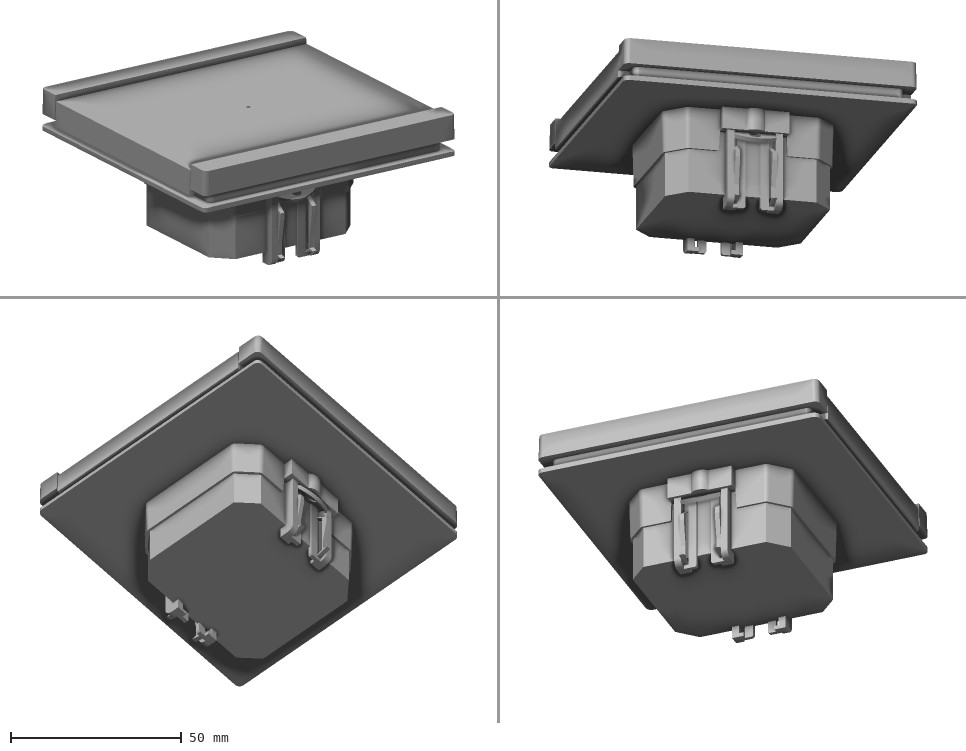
import cadquery as cq
import math


overall_height = 42.5

plate_x = 86.4
plate_y = 89.0
plate_thickness = 1.5
plate_edge_thickness = 1.3
plate_bevel_width = 2.7
corner_radius = 1.7

neck_x = 81.2
neck_y = 81.9
bar_bottom = 5.2
bar_top = 12.9
bar_width = 7.6
panel_gap = 0.4
panel_bottom = 3.3
panel_top = 11.0
end_draft = 0.3
indicator_diameter = 1.3
indicator_depth = 0.9

housing_x = 46.3
housing_y = 52.15
housing_chamfer = 6.05
housing_edge_radius = 2.05
housing_depth = 12.55
housing_taper = 1.5

box_x = 44.1
box_y = 50.0
box_chamfer = 5.6
box_bottom = -25.8

wing_reach = 26.0
wing_half_width = 10.15
wing_depth = 6.6
boss_half_width = 2.8
boss_reach = 27.2
notch_flare = 0.3

leg_reach = 25.0
inner_rail_reach = 22.6
leg_outer = 8.45
channel_outer = 6.3
channel_inner = 4.9
leg_inner = 2.3
leg_bottom = bar_top - overall_height
foot_reach = 20.0
inner_foot_reach = 21.4
foot_radius = 2.5
inner_foot_chamfer = 0.45
channel_bottom = -28.4

tab_reach = 27.2
tab_tip_z = -9.3
tab_length = 6.2
tab_angle = math.radians(36)
tab_sheet = 0.4
tab_lip_depth = 1.2
tab_lip_width = 0.5
tab_edge_radius = 10.95
tab_hole_diameter = 3.6
tab_hole_setback = 2.9

strip_thickness = 0.45
strip_root = 21.8
strip_inner_face = 24.4
strip_root_z = -9.8
inner_face_top = -12.2
bulge_reach = 26.2
bulge_top = -13.0
bulge_bottom = -15.0
straight_reach = 24.8
straight_top = -23.1
barb_reach = 26.4
barb_z = -27.0
barb_height = 0.5

housing_half_x = housing_x / 2
box_half_x = box_x / 2
bar_inner = plate_x / 2 - bar_width
panel_half_x = bar_inner - panel_gap


def slab(size_x, size_y, bottom, top):
    """Centred rectangular block between two heights."""
    block = cq.Workplane("XY").box(size_x, size_y, top - bottom, centered=(True, True, False))
    return block.translate((0, 0, bottom))


def leg_block(reach, y_low, y_high, z_low, z_high, x_low=foot_reach):
    """Block on the +X side, from x_low out to the given reach."""
    block = cq.Workplane("XY").box(reach - x_low, y_high - y_low, z_high - z_low, centered=False)
    return block.translate((x_low, y_low, z_low))


def extrude_along_y(points, y_low, y_high):
    """Closed XZ outline extruded between two Y positions."""
    return (
        cq.Workplane("XZ", origin=(0, y_high, 0))
        .polyline(points)
        .close()
        .extrude(y_high - y_low)
    )


def drafted_prism(x_low, x_high, bottom, top):
    """Block whose Y ends lean inwards towards the top."""
    base = plate_y / 2
    crest = base - end_draft
    return (
        cq.Workplane("YZ", origin=(x_low, 0, 0))
        .polyline([(-base, bottom), (base, bottom), (crest, top), (-crest, top)])
        .close()
        .extrude(x_high - x_low)
    )


def make_plate():
    half_y = plate_y / 2
    flat_half_y = half_y - plate_bevel_width
    profile = [
        (-half_y, 0),
        (half_y, 0),
        (half_y, plate_edge_thickness),
        (flat_half_y, plate_thickness),
        (-flat_half_y, plate_thickness),
        (-half_y, plate_edge_thickness),
    ]
    plate = (
        cq.Workplane("YZ", origin=(-plate_x / 2, 0, 0)).polyline(profile).close().extrude(plate_x)
    )
    outline = slab(plate_x, plate_y, 0, plate_thickness).edges("|Z").fillet(corner_radius)
    return plate.intersect(outline)


def make_neck():
    return slab(neck_x, neck_y, plate_thickness, bar_bottom).edges("|Z").fillet(corner_radius)


def make_bar():
    bar = drafted_prism(bar_inner, plate_x / 2, bar_bottom, bar_top)
    return bar.faces(">X").edges("not |Y").fillet(corner_radius)


def make_panel():
    panel = drafted_prism(-panel_half_x, panel_half_x, panel_bottom, panel_top)
    return panel.faces(">Z").workplane(origin=(0, 0, panel_top)).hole(indicator_diameter, indicator_depth)


def make_upper_housing():
    half_x = housing_half_x
    half_y = housing_y / 2
    cut_x = half_x - housing_chamfer
    cut_y = half_y - housing_chamfer
    outline = cq.Workplane("XY").polyline([
        (half_x, -cut_y), (half_x, cut_y), (cut_x, half_y), (-cut_x, half_y),
        (-half_x, cut_y), (-half_x, -cut_y), (-cut_x, -half_y), (cut_x, -half_y),
    ]).close()
    housing = outline.extrude(-housing_depth, taper=housing_taper)
    return housing.edges("not #Z").fillet(housing_edge_radius)


def make_lower_housing():
    return slab(box_x, box_y, box_bottom, 0).edges("|Z").chamfer(box_chamfer)


def make_notch():
    """Opening in the upper housing below a wing, flaring downwards."""
    flared = wing_half_width + notch_flare
    return (
        cq.Workplane("YZ", origin=(box_half_x, 0, 0))
        .polyline([
            (-wing_half_width, -wing_depth),
            (wing_half_width, -wing_depth),
            (flared, -housing_depth),
            (-flared, -housing_depth),
        ])
        .close()
        .extrude(housing_half_x - box_half_x)
    )


def make_wing():
    wing = leg_block(wing_reach, -wing_half_width, wing_half_width, -wing_depth, 0)
    boss = (
        cq.Workplane("XY")
        .moveTo(foot_reach, -boss_half_width)
        .lineTo(wing_reach, -boss_half_width)
        .threePointArc((boss_reach, 0), (wing_reach, boss_half_width))
        .lineTo(foot_reach, boss_half_width)
        .close()
        .extrude(-wing_depth)
    )
    return wing.union(boss)


def make_leg():
    outer_rail = leg_block(leg_reach, channel_outer, leg_outer, leg_bottom, -wing_depth)
    outer_rail = outer_rail.edges("|Y and >X and <Z").fillet(foot_radius)
    channel_end = leg_block(inner_rail_reach, channel_inner, channel_outer, leg_bottom, channel_bottom)
    inner_rail = leg_block(
        inner_rail_reach, leg_inner, channel_inner, leg_bottom, -wing_depth, inner_foot_reach
    )
    inner_rail = inner_rail.edges("|X and <Y and <Z").chamfer(inner_foot_chamfer)
    return outer_rail.union(channel_end).union(inner_rail)


def make_tab():
    """Sloping spring sheet with a lipped round tip and a hole."""
    slope_plane = cq.Plane(
        origin=(tab_reach, 0, tab_tip_z),
        xDir=(math.cos(tab_angle), 0, -math.sin(tab_angle)),
        normal=(math.sin(tab_angle), 0, math.cos(tab_angle)),
    )

    def tip_disc():
        disc = cq.Workplane(slope_plane).center(-tab_edge_radius, 0)
        return disc.circle(tab_edge_radius)

    strap = (
        cq.Workplane(slope_plane)
        .center(-tab_length / 2, 0)
        .rect(tab_length, 2 * channel_outer)
        .extrude(-tab_lip_depth)
    )
    hole = (
        cq.Workplane(slope_plane)
        .center(-tab_hole_setback, 0)
        .circle(tab_hole_diameter / 2)
        .extrude(-tab_sheet)
    )
    sheet = tip_disc().extrude(-tab_sheet)
    lip = tip_disc().circle(tab_edge_radius - tab_lip_width).extrude(-tab_lip_depth)
    return sheet.union(lip).intersect(strap).cut(hole)


def make_strip():
    """Spring strip in a channel: sloping arm, bulge, straight run and barbed return."""
    return extrude_along_y(
        [
            (strip_root, strip_root_z),
            (bulge_reach, bulge_top),
            (bulge_reach, bulge_bottom),
            (straight_reach, straight_top),
            (straight_reach, barb_z + barb_height),
            (barb_reach, barb_z),
            (straight_reach, barb_z - barb_height),
            (strip_root, channel_bottom),
            (strip_root, channel_bottom + strip_thickness),
            (strip_inner_face, barb_z),
            (strip_inner_face, inner_face_top),
            (strip_root, strip_root_z - strip_thickness),
        ],
        channel_inner,
        channel_outer,
    )


def make_claw():
    """Wing, spring tab and both legs of the +X side."""
    leg = make_leg().union(make_strip())
    return make_wing().union(make_tab()).union(leg).union(leg.mirror("XZ"))


def both_sides(body):
    """The given +X body together with its mirror image."""
    return body.union(body.mirror("YZ"))


result = (
    make_upper_housing()
    .cut(both_sides(make_notch()))
    .union(make_lower_housing())
    .union(both_sides(make_claw()))
    .union(make_plate())
    .union(make_neck())
    .union(both_sides(make_bar()))
    .union(make_panel())
)